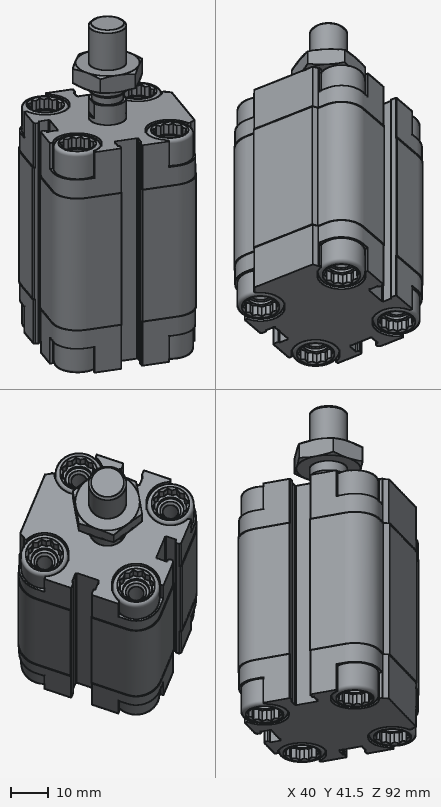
import cadquery as cq
import math

rod_top = 92.0
housing_height = 64.5
cap_height = 13.0

hexagon_half_angle = 30.0

barrel_width = 40.0
barrel_half_width = barrel_width / 2
cap_inset = 0.23
cap_half_width = barrel_half_width - cap_inset
screw_offset = 13.0

pad_rise = 1.5
pad_half_width = 9.4
pad_flank_run = 0.8

slot_floor = 15.1
slot_floor_chamfer = 0.3
front_slot_half_width = 3.5
front_slot_mouth_half_width = 2.6
front_slot_lip_back = 18.1
front_slot_lip_chamfer = 0.4
front_slot_mouth_flare = 0.55
side_slot_half_width = 3.3
side_slot_mouth_half_width = 2.85
side_slot_lip_back = 17.9
side_slot_lip_chamfer = 0.2
side_slot_mouth_flare = 0.2

recess_depth = 7.5
recess_diameter = 13.0
recess_corner_start = 2.5
head_diameter = 12.5
head_rounding = 1.0
socket_chamfer_diameter = 10.0
socket_across_flats = 8.1
socket_chamfer_angle = 30.0
socket_depth = 3.3
socket_hexagons = 2
relief_diameter = 7.2
relief_depth = 0.9
countersink_diameter = 5.5
screw_bore_diameter = 4.1

rod_diameter = 10.0
rod_bottom = housing_height - cap_height
rod_end_chamfer = 0.6
neck_diameter = 8.5
neck_bottom = 70.1
neck_top = 72.0
flat_bottom = 65.8
flat_spacing = 9.0

nut_bottom = 75.5
nut_height = 5.0
nut_across_flats = 17.0
nut_corner_drop = 0.5


def outline_prism(half_width, height):
    """Rounded square with the raised pad on its +Y side."""
    prism = (
        cq.Workplane("XY")
        .rect(2 * half_width, 2 * half_width)
        .extrude(height)
        .edges("|Z")
        .fillet(half_width - screw_offset)
    )
    pad_root = pad_half_width + pad_flank_run
    pad = (
        cq.Workplane("XY")
        .moveTo(-pad_root, 0)
        .lineTo(-pad_root, half_width)
        .lineTo(-pad_half_width, half_width + pad_rise)
        .lineTo(pad_half_width, half_width + pad_rise)
        .lineTo(pad_root, half_width)
        .lineTo(pad_root, 0)
        .close()
        .extrude(height)
    )
    return prism.union(pad)


def slot_cutter(face, height, half_width, mouth_half_width, lip_back, lip_chamfer, mouth_flare):
    """T-slot opening in the -Y side, with bevelled floor corners and lips chamfered inside and outside."""
    half_profile = [
        (half_width - slot_floor_chamfer, -slot_floor),
        (half_width, -slot_floor - slot_floor_chamfer),
        (half_width, -lip_back),
        (mouth_half_width + lip_chamfer, -lip_back),
        (mouth_half_width, -lip_back - lip_chamfer),
        (mouth_half_width, -face + lip_chamfer),
        (mouth_half_width + mouth_flare, -face),
    ]
    mirrored_half = [(-x, y) for x, y in reversed(half_profile)]
    return cq.Workplane("XY").polyline(half_profile + mirrored_half).close().extrude(height)


def housing_section(half_width, height):
    """Length of the housing with its three T-slots."""
    front_slot = slot_cutter(
        half_width,
        height,
        front_slot_half_width,
        front_slot_mouth_half_width,
        front_slot_lip_back,
        front_slot_lip_chamfer,
        front_slot_mouth_flare,
    )
    side_slot = slot_cutter(
        half_width,
        height,
        side_slot_half_width,
        side_slot_mouth_half_width,
        side_slot_lip_back,
        side_slot_lip_chamfer,
        side_slot_mouth_flare,
    )
    section = outline_prism(half_width, height).cut(front_slot)
    for turn in (-90, 90):
        section = section.cut(side_slot.rotate((0, 0, 0), (0, 0, 1), turn))
    return section


def recess_cutter(side_x, side_y):
    """Round recess around a screw at the top, squared off towards the housing corner."""
    bottom = housing_height - recess_depth
    corner_size = barrel_half_width
    corner_middle = screw_offset - recess_corner_start + corner_size / 2
    round_part = (
        cq.Workplane("XY", origin=(side_x * screw_offset, side_y * screw_offset, bottom))
        .circle(recess_diameter / 2)
        .extrude(recess_depth)
    )
    corner_part = (
        cq.Workplane("XY", origin=(side_x * corner_middle, side_y * corner_middle, bottom))
        .rect(corner_size, corner_size)
        .extrude(recess_depth)
    )
    return round_part.union(corner_part)


def screw_head():
    """Round head with a rounded rim, standing in a top recess, around the origin axis."""
    return (
        cq.Workplane("XY", origin=(0, 0, housing_height - recess_depth))
        .circle(head_diameter / 2)
        .extrude(recess_depth)
        .faces(">Z")
        .edges()
        .fillet(head_rounding)
    )


def socket_cutter():
    """Twelve-point socket with a chamfered rim, a relief and a countersink below it."""
    floor = housing_height - socket_depth
    relief_floor = floor - relief_depth
    rim_width = (socket_chamfer_diameter - relief_diameter) / 2
    rim_drop = rim_width * math.tan(math.radians(socket_chamfer_angle))
    points_diameter = socket_across_flats / math.cos(math.radians(hexagon_half_angle))
    cutter = (
        cq.Workplane("XZ")
        .moveTo(0, relief_floor - countersink_diameter / 2)
        .lineTo(countersink_diameter / 2, relief_floor)
        .lineTo(relief_diameter / 2, relief_floor)
        .lineTo(relief_diameter / 2, housing_height - rim_drop)
        .lineTo(socket_chamfer_diameter / 2, housing_height)
        .lineTo(0, housing_height)
        .close()
        .revolve(360, (0, 0, 0), (0, 1, 0))
    )
    for index in range(socket_hexagons):
        hexagon = (
            cq.Workplane("XY", origin=(0, 0, floor))
            .polygon(6, points_diameter)
            .extrude(socket_depth)
            .rotate((0, 0, 0), (0, 0, 1), index * hexagon_half_angle)
        )
        cutter = cutter.union(hexagon)
    return cutter


def mirror_to_bottom(top_feature):
    """The same feature at the underside of the housing."""
    return top_feature.mirror("XY", (0, 0, housing_height / 2))


def make_housing():
    """Barrel between two slightly smaller end caps, with the screw heads in their corners."""
    barrel_height = housing_height - 2 * cap_height
    housing = housing_section(cap_half_width, housing_height)
    barrel = housing_section(barrel_half_width, barrel_height).translate((0, 0, cap_height))
    housing = housing.union(barrel)
    for side_x in (-1, 1):
        for side_y in (-1, 1):
            place = (side_x * screw_offset, side_y * screw_offset, 0)
            recess = recess_cutter(side_x, side_y)
            head = screw_head().translate(place)
            socket = socket_cutter().translate(place)
            bore = cq.Workplane("XY", origin=place).circle(screw_bore_diameter / 2).extrude(housing_height)
            housing = housing.cut(recess).cut(mirror_to_bottom(recess))
            housing = housing.union(head).union(mirror_to_bottom(head))
            housing = housing.cut(socket).cut(mirror_to_bottom(socket)).cut(bore)
    rod_hole = (
        cq.Workplane("XY", origin=(0, 0, rod_bottom))
        .circle(rod_diameter / 2)
        .extrude(housing_height - rod_bottom)
    )
    return housing.cut(rod_hole)


def make_rod():
    """Piston rod with two wrench flats, a neck and a chamfered end."""
    radius = rod_diameter / 2
    neck_radius = neck_diameter / 2
    neck_radius_step = radius - neck_radius
    rod = (
        cq.Workplane("XZ")
        .moveTo(0, rod_bottom)
        .lineTo(radius, rod_bottom)
        .lineTo(radius, neck_bottom)
        .lineTo(neck_radius, neck_bottom)
        .lineTo(neck_radius, neck_top)
        .lineTo(radius, neck_top + neck_radius_step)
        .lineTo(radius, rod_top - rod_end_chamfer)
        .lineTo(radius - rod_end_chamfer, rod_top)
        .lineTo(0, rod_top)
        .close()
        .revolve(360, (0, 0, 0), (0, 1, 0))
    )
    flat_height = neck_bottom - flat_bottom
    for side in (-1, 1):
        flat_cutter = (
            cq.Workplane("XY", origin=(0, side * (flat_spacing + rod_diameter) / 2, flat_bottom))
            .rect(rod_diameter, rod_diameter)
            .extrude(flat_height)
        )
        rod = rod.cut(flat_cutter)
    return rod


def make_nut():
    """Hexagonal nut with corners on the Y axis, turned down at both ends."""
    corner_diameter = nut_across_flats / math.cos(math.radians(hexagon_half_angle))
    corner_radius = corner_diameter / 2
    flat_radius = nut_across_flats / 2
    hexagon = (
        cq.Workplane("XY")
        .polygon(6, corner_diameter)
        .extrude(nut_height)
        .rotate((0, 0, 0), (0, 0, 1), hexagon_half_angle)
    )
    turned_blank = (
        cq.Workplane("XZ")
        .moveTo(0, 0)
        .lineTo(flat_radius, 0)
        .lineTo(corner_radius, nut_corner_drop)
        .lineTo(corner_radius, nut_height - nut_corner_drop)
        .lineTo(flat_radius, nut_height)
        .lineTo(0, nut_height)
        .close()
        .revolve(360, (0, 0, 0), (0, 1, 0))
    )
    thread_hole = cq.Workplane("XY").circle(rod_diameter / 2).extrude(nut_height)
    return hexagon.intersect(turned_blank).cut(thread_hole).translate((0, 0, nut_bottom))


housing = make_housing()
rod = make_rod()
nut = make_nut()

result = cq.Compound.makeCompound([housing.val(), rod.val(), nut.val()])